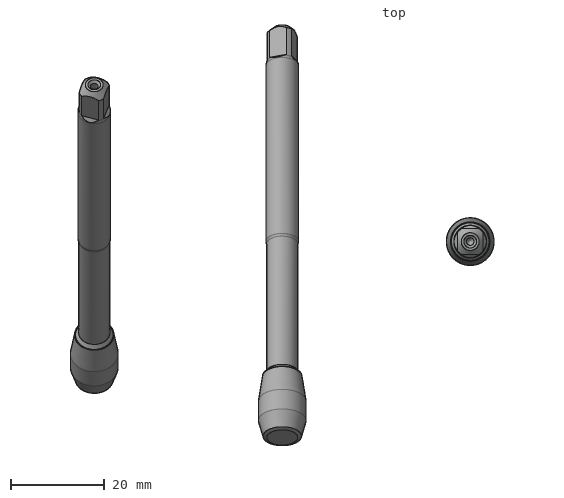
import cadquery as cq

total_length = 100.0

head_diameter = 10.2
head_bottom_diameter = 8.2
head_top_diameter = 8.4
head_height = 15.1
lower_taper_top = 4.1
upper_taper_bottom = 8.9
head_chamfer_height = 0.3
head_chamfer_width = 0.8

shank_diameter = 7.0
neck_diameter = 6.7
flare_height = 0.9
flare_diameter = 8.0
neck_step_bottom = 47.4
neck_step_height = 0.6

drive_sides = 4
drive_width = 5.5
drive_corner_diameter = 6.7
drive_length = 8.0
drive_tip_diameter = 3.8
shoulder_bottom = 91.1
shoulder_height = 0.7

centre_hole_diameter = 1.6
countersink_diameter = 2.7
centre_hole_depth = 3.0

head_radius = head_diameter / 2
head_top_radius = head_top_diameter / 2
head_bottom_radius = head_bottom_diameter / 2
shank_radius = shank_diameter / 2
neck_radius = neck_diameter / 2
drive_corner_radius = drive_corner_diameter / 2
drive_tip_radius = drive_tip_diameter / 2
drive_bottom = total_length - drive_length
tip_height = drive_corner_radius - drive_tip_radius
countersink_radius = countersink_diameter / 2
centre_hole_radius = centre_hole_diameter / 2
countersink_depth = countersink_radius - centre_hole_radius


def revolve_profile(points):
    """Revolve a closed (radius, height) outline about the Z axis."""
    return cq.Workplane("XZ").polyline(points).close().revolve(360, (0, 0, 0), (0, 1, 0))


def make_head():
    """Barrel head with a flat top on which the shank sits."""
    return revolve_profile([
        (0, 0),
        (head_bottom_radius - head_chamfer_width, 0),
        (head_bottom_radius, head_chamfer_height),
        (head_radius, lower_taper_top),
        (head_radius, upper_taper_bottom),
        (head_top_radius, head_height),
        (0, head_height),
    ])


def make_round_shank():
    """Turned outline of the shank, before the flats and centre hole are cut."""
    return revolve_profile([
        (0, head_height),
        (flare_diameter / 2, head_height),
        (neck_radius, head_height + flare_height),
        (neck_radius, neck_step_bottom),
        (shank_radius, neck_step_bottom + neck_step_height),
        (shank_radius, shoulder_bottom),
        (drive_corner_radius, shoulder_bottom + shoulder_height),
        (drive_corner_radius, total_length - tip_height),
        (drive_tip_radius, total_length),
        (0, total_length),
    ])


def make_flat_cutter():
    """Block that cuts the +X drive flat, ending below in a 45 degree run-out."""
    flat_distance = drive_width / 2
    runout = shank_diameter - flat_distance
    return (
        cq.Workplane("XZ")
        .polyline([
            (flat_distance, total_length),
            (flat_distance, drive_bottom),
            (shank_diameter, drive_bottom - runout),
            (shank_diameter, total_length),
        ])
        .close()
        .extrude(shank_radius, both=True)
    )


def make_centre_hole():
    """Countersunk blind hole in the tip, with a 45 degree conical bottom."""
    return revolve_profile([
        (0, total_length),
        (countersink_radius, total_length),
        (centre_hole_radius, total_length - countersink_depth),
        (centre_hole_radius, total_length - centre_hole_depth),
        (0, total_length - centre_hole_depth - centre_hole_radius),
    ])


def make_shank():
    """Shank with four drive flats and a centre hole."""
    shank = make_round_shank().cut(make_centre_hole())
    for index in range(drive_sides):
        angle = index * 360 / drive_sides
        shank = shank.cut(make_flat_cutter().rotate((0, 0, 0), (0, 0, 1), angle))
    return shank


head = make_head()
shank = make_shank()
result = cq.Compound.makeCompound([head.val(), shank.val()])